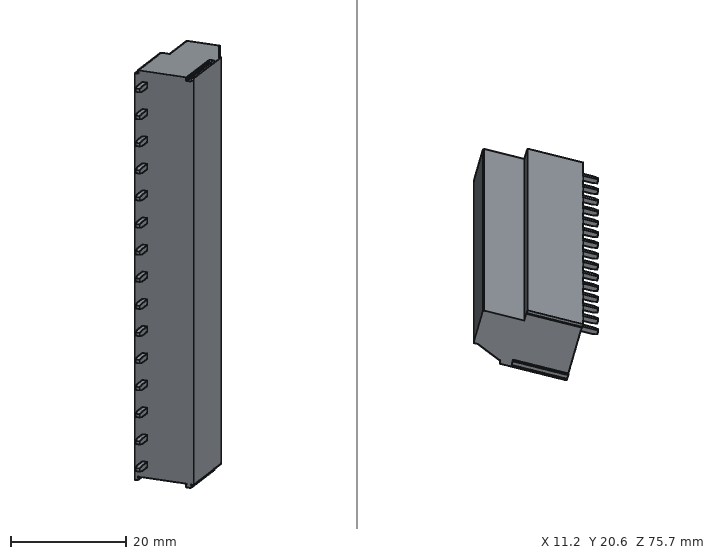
import cadquery as cq

width = 11.2
depth = 20.6
height = 75.65
pole_count = 15

body_depth = 17.4
base_depth = 10.0
neck_left = 2.3
top_right = 8.6
bevel_start_y = 16.65
bevel_end_x = 10.7
shoulder_y = 12.0
corner_chamfer = 0.2

joint_depth = 0.7
joint_widest_depth = 0.5
joint_flare = 0.15
joint_tip_inset = 0.1
edge_joint_width = 0.6
middle_joint_left = 9.8
middle_joint_right = 10.7

pin_left = 1.5
pin_width = 0.9
pin_thickness = 1.0
pin_length = depth - body_depth
tip_length = 0.9
tip_width = 0.75
tip_thickness = 0.6

body_bottom = joint_depth
body_height = height - body_bottom
pole_pitch = body_height / pole_count
first_pin_z = body_bottom + pole_pitch / 2


def make_housing():
    """Stepped profile extruded along the row of poles."""
    outline = [
        (0, 0),
        (width, 0),
        (width, shoulder_y),
        (bevel_end_x, shoulder_y),
        (top_right, bevel_start_y),
        (top_right, body_depth),
        (neck_left + corner_chamfer, body_depth),
        (neck_left, body_depth - corner_chamfer),
        (neck_left, base_depth),
        (0, base_depth),
    ]
    return (
        cq.Workplane("XY", origin=(0, 0, body_bottom))
        .polyline(outline)
        .close()
        .extrude(body_height)
    )


def make_joints(mouth_z):
    """Edge and middle joint prisms that start at mouth_z, widen below it and narrow again at the tip."""
    widest_z = mouth_z - joint_widest_depth
    tip_z = mouth_z - joint_depth
    edge_section = [
        (0, mouth_z),
        (edge_joint_width, mouth_z),
        (edge_joint_width + joint_flare, widest_z),
        (edge_joint_width - joint_tip_inset, tip_z),
        (0, tip_z),
    ]
    middle_section = [
        (middle_joint_left, mouth_z),
        (middle_joint_right, mouth_z),
        (middle_joint_right + joint_flare, widest_z),
        (middle_joint_right - joint_tip_inset, tip_z),
        (middle_joint_left + joint_tip_inset, tip_z),
        (middle_joint_left - joint_flare, widest_z),
    ]
    return (
        cq.Workplane("XZ")
        .polyline(edge_section)
        .close()
        .polyline(middle_section)
        .close()
        .extrude(-base_depth)
    )


def make_pin(center_z):
    """Rectangular pin pointing to -Y with a tapered tip."""
    center_x = pin_left + pin_width / 2
    shank_length = pin_length - tip_length
    shank = (
        cq.Workplane("XZ", origin=(center_x, 0, center_z))
        .rect(pin_width, pin_thickness)
        .extrude(shank_length)
    )
    tip = (
        cq.Workplane("XZ", origin=(center_x, -shank_length, center_z))
        .rect(pin_width, pin_thickness)
        .workplane(offset=tip_length)
        .rect(tip_width, tip_thickness)
        .loft()
    )
    return shank.union(tip)


grooves = make_joints(height)
tongues = make_joints(body_bottom)
result = make_housing().cut(grooves).union(tongues)
for pole in range(pole_count):
    result = result.union(make_pin(first_pin_z + pole * pole_pitch))